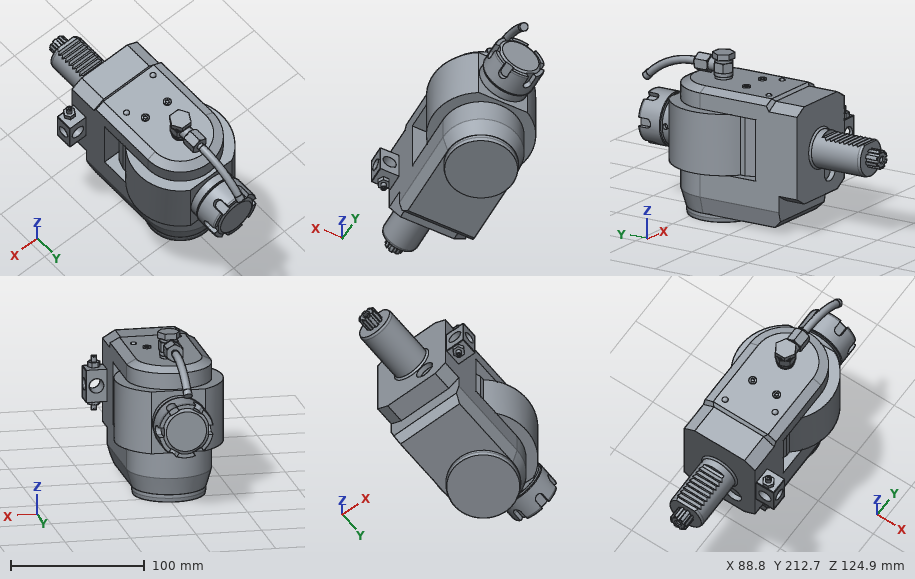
import cadquery as cq
import math

OVERALL_LENGTH = 212.7

HALF_WIDTH = 32.1
SWIVEL_Y = 86.5
TOP_Z = 40.2
TOP_BEVEL_Z = 36.4
TOP_BEVEL_INSET = 7.2
TAPER_Z = -45.0
BOTTOM_Z = -59.0
TAPER_INSET = 4.0
REAR_Y = 16.4
BOTTOM_CHAMFER = 6.0
STEP_START_Y = 25.0
STEP_END_Y = 27.5

FLANGE_HALF_HEIGHT = 38.0
FLANGE_SIDE_HALF_HEIGHT = 32.3
FLANGE_TOP_HALF_WIDTH = 22.5

HEAD_HALF_HEIGHT = 24.0
HEAD_RADIUS = 40.8
HEAD_FRONT_Y = 121.9
SLOT_BACK_Y = 37.2
TAIL_HALF_WIDTH = 25.5
TAIL_BEVEL_Y = 50.8
TAIL_END_HALF_WIDTH = 22.8
TAIL_END_Y = 43.0
TAIL_NOSE_Y = 39.0

CAP_RADIUS = 27.9
CAP_CHAMFER_Z = -61.7
CAP_BOTTOM_Z = -64.9
CAP_END_RADIUS = 27.2

PIN_HOLE_X = 12.3
PIN_HOLE_Z = -21.7
PIN_HOLE_RADIUS = 7.5
PIN_HOLE_DEPTH = 4.3

SHANK_RADIUS = 14.9
SHANK_COLLAR_RADIUS = 16.4
SHANK_COLLAR_LENGTH = 1.5
SHANK_LENGTH = 44.7
SHANK_CHAMFER_LENGTH = 2.1
SHANK_CHAMFER_DEPTH = 0.6
FLAT_Z = 12.0
FLAT_START = 7.2
TOOTH_START = 9.8
SERRATION_LENGTH = 32
TOOTH_DEPTH = 1.5
TOOTH_STEEP_SHARE = 0.55
TOOTH_COUNT = 8
TOOTH_PITCH = SERRATION_LENGTH / TOOTH_COUNT

SPLINE_RADIUS = 7.2
SPLINE_ROOT_RADIUS = 5.5
SPLINE_LENGTH = 10.0
SPLINE_CHAMFER = 0.5
SPLINE_COUNT = 8
SPLINE_GROOVE_WIDTH = 2.5
SPLINE_BORE_RADIUS = 2.1
SPLINE_COUNTERSINK_RADIUS = 3.0
SPLINE_BORE_DEPTH = 4.3

COLLAR_RADIUS = 20.0
COLLAR_END_Y = 128.2
NECK_RADIUS = 16.4
NUT_BACK_Y = 129.5
NUT_FRONT_Y = 149.0
NUT_FACE_Y = 150.1
NUT_RADIUS = 21.0
NUT_RIM_RADIUS = 20.6
NUT_STEP_RADIUS = 17.7
NUT_FACE_RADIUS = 15.3
NUT_CHAMFER = 0.6
NUT_RIM_LENGTH = 1.5
NUT_SLOT_COUNT = 6
NUT_SLOT_WIDTH = 7.2
NUT_SLOT_END_Y = 138.0
NUT_SLOT_FLOOR = 16.8
SPANNER_HOLE_Y = 125.5
SPANNER_HOLE_RADIUS = 2.1
SPANNER_HOLE_DEPTH = 3.2

BRACKET_OUTER_X = 48.0
BRACKET_Y_MIN = 1.5
BRACKET_Y_MAX = 16.0
BRACKET_HALF_HEIGHT = 12.5
BRACKET_CHAMFER = 0.5
BRACKET_HOLE_RADIUS = 5.5
INLET_RADIUS = 4.7
STUD_X = 40.0
STUD_Y = 6.2
STUD_RADIUS = 2.1
STUD_END_Z = 20.8
STUD_SOCKET_CORNERS = 2.5
STUD_SOCKET_DEPTH = 1.3
STUD_NUT_CORNERS = 9.4
STUD_NUT_TOP_Z = 16.4

FITTING_RADIUS = 7.0
FITTING_FOOT_TOP_Z = 42.1
FITTING_HEX_BOTTOM_Z = 45.0
FITTING_HEX_TOP_Z = 52.7
FITTING_HEX_CORNERS = 15.7
FITTING_NECK_RADIUS = 6.5
CAP_SCREW_BOTTOM_Z = 55.3
CAP_SCREW_TOP_Z = 60.0
CAP_SCREW_CORNERS = 17
HOSE_Z = 49.1
OUTLET_RADIUS = 5.0
HOSE_NUT_START_Y = 97.5
HOSE_NUT_END_Y = 108.9
HOSE_NUT_CORNERS = 14.2
HEX_CHAMFER = 0.6

FERRULE_RADIUS = 2.8
HOSE_START_Y = 111.5
HOSE_RADIUS = 3.0
HOSE_BEND_RADIUS = 58.7
HOSE_BEND_ANGLE = 44.6
HOSE_TIP_RADIUS = 3.2

SCREW_POINTS = [(-10.8, 59.1), (10.8, 59.1)]
SCREW_RADIUS = 3.0
SCREW_SOCKET_CORNERS = 3.2
SCREW_HEIGHT = 1.0
DOME_POINTS = [(-18.5, 34), (18.3, 46.4)]
DOME_RADIUS = 2.3
DOME_HEIGHT = 1.3


def box(x_range, y_range, z_range):
    """Box between the given limits."""
    size = [high - low for low, high in (x_range, y_range, z_range)]
    corner = (x_range[0], y_range[0], z_range[0])
    return cq.Workplane("XY").box(*size, centered=False).translate(corner)


def cylinder_z(x, y, radius, z_min, z_max):
    """Upright cylinder."""
    return cq.Workplane("XY", origin=(x, y, z_min)).circle(radius).extrude(z_max - z_min)


def along_y(y_start, x=0, z=0):
    """Workplane at y_start whose extrusions run toward +Y."""
    return cq.Workplane("XZ", origin=(x, y_start, z)).transformed(rotate=(0, 180, 0))


def revolved_about_y(profile):
    """Solid of revolution about the Y axis from (radius, y) points."""
    return cq.Workplane("XY").polyline(profile).close().revolve(360, (0, 0), (0, 1))


def hex_bar(corners, length, turn=0, chamfer=0):
    """Hexagonal bar along +Z whose corners are turned off at both ends by the chamfer."""
    bar = cq.Workplane("XY").polygon(6, corners).extrude(length).rotate((0, 0, 0), (0, 0, 1), turn)
    if chamfer:
        bar = bar.intersect(cq.Workplane("XY").circle(corners / 2).extrude(length).edges().chamfer(chamfer))
    return bar


def d_outline(z, half_width):
    """Plan outline at height z: straight sides and a half round front about the swivel axis."""
    return (
        cq.Workplane("XY", origin=(0, 0, z))
        .moveTo(-half_width, 0)
        .lineTo(half_width, 0)
        .lineTo(half_width, SWIVEL_Y)
        .threePointArc((0, SWIVEL_Y + half_width), (-half_width, SWIVEL_Y))
        .close()
    )


def tapered_d(z_wide, z_narrow, inset):
    """D-shaped block whose sides and round front lean in by the inset toward z_narrow."""
    height = abs(z_narrow - z_wide)
    taper = math.degrees(math.atan2(inset, height))
    block = d_outline(0, HALF_WIDTH).extrude(height, taper=taper)
    if z_narrow < z_wide:
        block = block.mirror("XY")
    return block.translate((0, 0, z_wide))


def housing():
    """Housing with bevelled top, tapered bottom and the slot for the swivel head."""
    body = d_outline(TAPER_Z, HALF_WIDTH).extrude(TOP_BEVEL_Z - TAPER_Z)
    body = body.union(tapered_d(TOP_BEVEL_Z, TOP_Z, TOP_BEVEL_INSET))
    body = body.union(tapered_d(TAPER_Z, BOTTOM_Z, TAPER_INSET))
    front_y = SWIVEL_Y + HALF_WIDTH
    side_profile = [
        (REAR_Y, BOTTOM_Z + BOTTOM_CHAMFER),
        (REAR_Y + BOTTOM_CHAMFER, BOTTOM_Z),
        (front_y, BOTTOM_Z),
        (front_y, TOP_Z),
        (STEP_END_Y, TOP_Z),
        (STEP_END_Y, 0),
        (REAR_Y, 0),
    ]
    body = body.intersect(cq.Workplane("YZ").polyline(side_profile).close().extrude(HALF_WIDTH, both=True))
    x_range = (-HALF_WIDTH, HALF_WIDTH)
    return body.cut(box(x_range, (SLOT_BACK_Y, front_y), (-HEAD_HALF_HEIGHT, HEAD_HALF_HEIGHT)))


def flange():
    """Octagonal clamping flange, the sloped step up to the housing and the locating hole."""
    flange_corner = [(HALF_WIDTH, FLANGE_SIDE_HALF_HEIGHT), (FLANGE_TOP_HALF_WIDTH, FLANGE_HALF_HEIGHT)]
    housing_corner = [(HALF_WIDTH, TOP_BEVEL_Z), (HALF_WIDTH - TOP_BEVEL_INSET, TOP_Z)]
    lower = [(x, -z) for x, z in flange_corner[::-1]] + flange_corner
    octagon = lower + [(-x, z) for x, z in lower[::-1]]
    plate = cq.Workplane("XZ").polyline(octagon).close().extrude(-STEP_START_Y)

    def upper_section(corner):
        right = [(HALF_WIDTH, 0)] + corner
        return right + [(-x, z) for x, z in right[::-1]]

    step = (
        cq.Workplane("XZ", origin=(0, STEP_START_Y, 0))
        .polyline(upper_section(flange_corner))
        .close()
        .workplane(offset=STEP_START_Y - STEP_END_Y)
        .polyline(upper_section(housing_corner))
        .close()
        .loft(ruled=True)
    )
    pin_hole = along_y(0, PIN_HOLE_X, PIN_HOLE_Z).circle(PIN_HOLE_RADIUS).extrude(PIN_HOLE_DEPTH)
    return plate.union(step).cut(pin_hole)


def swivel_head():
    """Round head, flat in front, with a bevelled tail that ends in a shallow rounded nose."""
    height = 2 * HEAD_HALF_HEIGHT
    base = cq.Workplane("XY", origin=(0, 0, -HEAD_HALF_HEIGHT))
    disc = base.center(0, SWIVEL_Y).circle(HEAD_RADIUS).extrude(height)
    z_range = (-HEAD_HALF_HEIGHT, HEAD_HALF_HEIGHT)
    front = box((-HEAD_RADIUS, HEAD_RADIUS), (HEAD_FRONT_Y, SWIVEL_Y + HEAD_RADIUS), z_range)
    tail = (
        base.moveTo(-TAIL_HALF_WIDTH, SWIVEL_Y)
        .lineTo(-TAIL_HALF_WIDTH, TAIL_BEVEL_Y)
        .lineTo(-TAIL_END_HALF_WIDTH, TAIL_END_Y)
        .threePointArc((0, TAIL_NOSE_Y), (TAIL_END_HALF_WIDTH, TAIL_END_Y))
        .lineTo(TAIL_HALF_WIDTH, TAIL_BEVEL_Y)
        .lineTo(TAIL_HALF_WIDTH, SWIVEL_Y)
        .close()
        .extrude(height)
    )
    return disc.cut(front).union(tail)


def bottom_cap():
    """Round cover under the housing with a slightly tapered rim."""
    disc = cylinder_z(0, SWIVEL_Y, CAP_RADIUS, CAP_BOTTOM_Z, BOTTOM_Z)
    return disc.faces("<Z").chamfer(CAP_CHAMFER_Z - CAP_BOTTOM_Z, CAP_RADIUS - CAP_END_RADIUS)


def shank():
    """Round shank with a collar at the flange and a serrated flat on top."""
    bar = revolved_about_y([
        (0, 0),
        (SHANK_COLLAR_RADIUS, 0),
        (SHANK_RADIUS, -SHANK_COLLAR_LENGTH),
        (SHANK_RADIUS, SHANK_CHAMFER_LENGTH - SHANK_LENGTH),
        (SHANK_RADIUS - SHANK_CHAMFER_DEPTH, -SHANK_LENGTH),
        (0, -SHANK_LENGTH),
    ])
    x_range = (-SHANK_RADIUS, SHANK_RADIUS)
    bar = bar.cut(box(x_range, (-SHANK_LENGTH, -FLAT_START), (FLAT_Z, SHANK_RADIUS)))
    for index in range(TOOTH_COUNT):
        start = -TOOTH_START - index * TOOTH_PITCH
        bottom = (start - TOOTH_STEEP_SHARE * TOOTH_PITCH, FLAT_Z - TOOTH_DEPTH)
        groove = cq.Workplane("YZ").polyline([(start, FLAT_Z), bottom, (start - TOOTH_PITCH, FLAT_Z)])
        bar = bar.cut(groove.close().extrude(SHANK_RADIUS, both=True))
    return bar


def spline():
    """Splined drive stub with a countersunk centre bore."""
    end_y = -SHANK_LENGTH - SPLINE_LENGTH
    stub = along_y(end_y).circle(SPLINE_RADIUS).extrude(SPLINE_LENGTH).faces("<Y").chamfer(SPLINE_CHAMFER)
    half_groove = SPLINE_GROOVE_WIDTH / 2
    y_range = (end_y, -SHANK_LENGTH)
    groove = box((-half_groove, half_groove), y_range, (SPLINE_ROOT_RADIUS, SPLINE_RADIUS))
    for index in range(SPLINE_COUNT):
        stub = stub.cut(groove.rotate((0, 0, 0), (0, 1, 0), index * 360 / SPLINE_COUNT))
    countersink_depth = SPLINE_COUNTERSINK_RADIUS - SPLINE_BORE_RADIUS
    bore = revolved_about_y([
        (0, end_y),
        (SPLINE_COUNTERSINK_RADIUS, end_y),
        (SPLINE_BORE_RADIUS, end_y + countersink_depth),
        (SPLINE_BORE_RADIUS, end_y + SPLINE_BORE_DEPTH),
        (0, end_y + SPLINE_BORE_DEPTH),
    ])
    return stub.cut(bore)


def collet_nut():
    """Spindle nose collar, neck and slotted collet nut."""
    nose = revolved_about_y([
        (0, HEAD_FRONT_Y),
        (COLLAR_RADIUS, HEAD_FRONT_Y),
        (COLLAR_RADIUS, COLLAR_END_Y),
        (NECK_RADIUS, COLLAR_END_Y),
        (NECK_RADIUS, NUT_BACK_Y),
        (NUT_RADIUS - NUT_CHAMFER, NUT_BACK_Y),
        (NUT_RADIUS, NUT_BACK_Y + NUT_CHAMFER),
        (NUT_RADIUS, NUT_FRONT_Y - NUT_RIM_LENGTH),
        (NUT_RIM_RADIUS, NUT_FRONT_Y),
        (NUT_STEP_RADIUS, NUT_FRONT_Y),
        (NUT_FACE_RADIUS, NUT_FACE_Y),
        (0, NUT_FACE_Y),
    ])
    slot_radius = NUT_SLOT_WIDTH / 2
    slot_center_y = NUT_SLOT_END_Y + slot_radius
    slot_depth = NUT_RADIUS - NUT_SLOT_FLOOR
    straight = box((NUT_SLOT_FLOOR, NUT_RADIUS), (slot_center_y, NUT_FACE_Y), (-slot_radius, slot_radius))
    round_end = cq.Workplane("YZ", origin=(NUT_SLOT_FLOOR, slot_center_y, 0)).circle(slot_radius)
    slot = straight.union(round_end.extrude(slot_depth))
    for index in range(NUT_SLOT_COUNT):
        nose = nose.cut(slot.rotate((0, 0, 0), (0, 1, 0), index * 360 / NUT_SLOT_COUNT))
    spanner_hole = (
        cq.Workplane("YZ", origin=(-COLLAR_RADIUS, SPANNER_HOLE_Y, 0))
        .circle(SPANNER_HOLE_RADIUS)
        .extrude(SPANNER_HOLE_DEPTH)
    )
    return nose.cut(spanner_hole)


def bracket():
    """Side block, rooted in the flange, with two meeting holes, and a nutted stud above and below it."""
    block = box(
        (FLANGE_TOP_HALF_WIDTH, BRACKET_OUTER_X),
        (BRACKET_Y_MIN, BRACKET_Y_MAX),
        (-BRACKET_HALF_HEIGHT, BRACKET_HALF_HEIGHT),
    )
    block = block.faces(">X or <Y").edges().chamfer(BRACKET_CHAMFER)
    depth = BRACKET_Y_MAX - BRACKET_Y_MIN
    block = block.cut(along_y(BRACKET_Y_MIN, STUD_X).circle(BRACKET_HOLE_RADIUS).extrude(depth))
    inlet = cq.Workplane("YZ", origin=(STUD_X, BRACKET_Y_MIN + depth / 2, 0)).circle(INLET_RADIUS)
    block = block.cut(inlet.extrude(BRACKET_OUTER_X - STUD_X))
    stud = cylinder_z(STUD_X, STUD_Y, STUD_RADIUS, BRACKET_HALF_HEIGHT, STUD_END_Z)
    nut = hex_bar(STUD_NUT_CORNERS, STUD_NUT_TOP_Z - BRACKET_HALF_HEIGHT)
    stud = stud.union(nut.translate((STUD_X, STUD_Y, BRACKET_HALF_HEIGHT)))
    socket = hex_bar(STUD_SOCKET_CORNERS, STUD_SOCKET_DEPTH)
    stud = stud.cut(socket.translate((STUD_X, STUD_Y, STUD_END_Z - STUD_SOCKET_DEPTH)))
    return block.union(stud).union(stud.mirror("XY"))


def coolant_fitting():
    """Upright banjo fitting with its cap screw, the side outlet and the hose nut."""
    post = cylinder_z(0, SWIVEL_Y, FITTING_NECK_RADIUS, TOP_Z, FITTING_FOOT_TOP_Z)
    post = post.union(cylinder_z(0, SWIVEL_Y, FITTING_RADIUS, FITTING_FOOT_TOP_Z, FITTING_HEX_BOTTOM_Z))
    post = post.union(cylinder_z(0, SWIVEL_Y, FITTING_NECK_RADIUS, FITTING_HEX_TOP_Z, CAP_SCREW_BOTTOM_Z))
    hex_body = hex_bar(
        FITTING_HEX_CORNERS, FITTING_HEX_TOP_Z - FITTING_HEX_BOTTOM_Z, turn=30, chamfer=HEX_CHAMFER
    )
    post = post.union(hex_body.translate((0, SWIVEL_Y, FITTING_HEX_BOTTOM_Z)))
    cap_screw = hex_bar(CAP_SCREW_CORNERS, CAP_SCREW_TOP_Z - CAP_SCREW_BOTTOM_Z)
    post = post.union(cap_screw.translate((0, SWIVEL_Y, CAP_SCREW_BOTTOM_Z)))
    outlet = along_y(SWIVEL_Y, z=HOSE_Z).circle(OUTLET_RADIUS).extrude(HOSE_NUT_START_Y - SWIVEL_Y)
    hose_nut = hex_bar(
        HOSE_NUT_CORNERS, HOSE_NUT_END_Y - HOSE_NUT_START_Y, turn=30, chamfer=HEX_CHAMFER
    )
    hose_nut = hose_nut.rotate((0, 0, 0), (1, 0, 0), -90).translate((0, HOSE_NUT_START_Y, HOSE_Z))
    return post.union(outlet).union(hose_nut)


def hose():
    """Ferrule and hose bending down over the collet nut to a short straight tip."""
    ferrule = along_y(HOSE_NUT_END_Y, z=HOSE_Z).circle(FERRULE_RADIUS).extrude(HOSE_START_Y - HOSE_NUT_END_Y)
    tube = (
        along_y(HOSE_START_Y, z=HOSE_Z)
        .circle(HOSE_RADIUS)
        .revolve(HOSE_BEND_ANGLE, (-2.1, -HOSE_BEND_RADIUS), (2.1, -HOSE_BEND_RADIUS))
    )
    bend = math.radians(HOSE_BEND_ANGLE)
    bend_end_y = HOSE_START_Y + HOSE_BEND_RADIUS * math.sin(bend)
    front_y = OVERALL_LENGTH - SHANK_LENGTH - SPLINE_LENGTH
    tip_length = (front_y - bend_end_y - HOSE_TIP_RADIUS * math.sin(bend)) / math.cos(bend)
    tip = cq.Workplane("XY").circle(HOSE_TIP_RADIUS).extrude(tip_length)
    tip = tip.rotate((0, 0, 0), (1, 0, 0), -90 - HOSE_BEND_ANGLE).translate((
        0,
        bend_end_y,
        HOSE_Z - HOSE_BEND_RADIUS * (1 - math.cos(bend)),
    ))
    return ferrule.union(tube).union(tip)


def top_hardware():
    """Socket screws and domed plugs standing out of the top face."""
    top = cq.Workplane("XY", origin=(0, 0, TOP_Z))
    screws = top.pushPoints(SCREW_POINTS).circle(SCREW_RADIUS).extrude(SCREW_HEIGHT)
    screws = screws.cut(top.pushPoints(SCREW_POINTS).polygon(6, SCREW_SOCKET_CORNERS).extrude(SCREW_HEIGHT))
    sphere_radius = (DOME_RADIUS**2 + DOME_HEIGHT**2) / (2 * DOME_HEIGHT)
    sphere_depth = sphere_radius - DOME_HEIGHT
    for x, y in DOME_POINTS:
        dome = cq.Workplane("XY").sphere(sphere_radius).translate((x, y, TOP_Z - sphere_depth))
        screws = screws.union(dome.intersect(cylinder_z(x, y, DOME_RADIUS, TOP_Z, TOP_Z + DOME_HEIGHT)))
    return screws


result = housing()
for feature in (
    flange,
    swivel_head,
    bottom_cap,
    shank,
    spline,
    collet_nut,
    bracket,
    coolant_fitting,
    hose,
    top_hardware,
):
    result = result.union(feature())